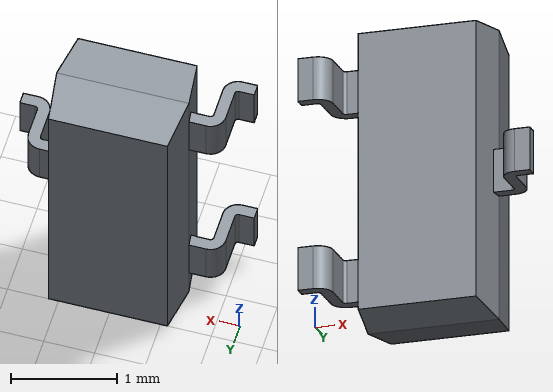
import cadquery as cq
import math

BODY_WIDTH = 1.3
BODY_DEPTH = 1.0
BODY_HEIGHT = 2.9
DRAFT_ANGLE = 7.5

LEAD_SPAN = 2.3
LEAD_WIDTH = 0.43
LEAD_THICKNESS = 0.12
LEAD_PITCH = 1.897
SHANK_OUTER_X = 0.97
OUTER_BEND_RADIUS = 0.15
INNER_BEND_RADIUS = OUTER_BEND_RADIUS - LEAD_THICKNESS
STANDOFF = 0.1

HALF_DEPTH = BODY_DEPTH / 2
SEATING_Y = -HALF_DEPTH - STANDOFF


def make_body():
    """Two drafted halves joined at the parting plane."""
    def half(distance):
        return (
            cq.Workplane("XZ")
            .rect(BODY_WIDTH, BODY_HEIGHT)
            .extrude(distance, taper=DRAFT_ANGLE)
        )

    return half(HALF_DEPTH).union(half(-HALF_DEPTH))


def make_lead(side, z_center):
    """One bent lead on the +X (side = 1) or -X (side = -1) wall, ending on the drafted wall."""
    wall_top_x = BODY_WIDTH / 2
    wall_bottom_x = wall_top_x - LEAD_THICKNESS * math.tan(math.radians(DRAFT_ANGLE))
    shank_inner_x = SHANK_OUTER_X - LEAD_THICKNESS
    toe_x = LEAD_SPAN / 2
    foot_top_y = SEATING_Y + LEAD_THICKNESS

    def x_y(x, y):
        return (side * x, y)

    def bend(profile, end, radius):
        return profile.radiusArc(x_y(*end), side * radius)

    outer = OUTER_BEND_RADIUS
    inner = INNER_BEND_RADIUS
    profile = cq.Workplane("XY", origin=(0, 0, z_center - LEAD_WIDTH / 2))
    profile = profile.moveTo(*x_y(wall_top_x, 0)).lineTo(*x_y(SHANK_OUTER_X - outer, 0))
    profile = bend(profile, (SHANK_OUTER_X, -outer), outer)
    profile = profile.lineTo(*x_y(SHANK_OUTER_X, foot_top_y + inner))
    profile = bend(profile, (SHANK_OUTER_X + inner, foot_top_y), -inner)
    profile = profile.lineTo(*x_y(toe_x, foot_top_y)).lineTo(*x_y(toe_x, SEATING_Y))
    profile = profile.lineTo(*x_y(shank_inner_x + outer, SEATING_Y))
    profile = bend(profile, (shank_inner_x, SEATING_Y + outer), outer)
    profile = profile.lineTo(*x_y(shank_inner_x, -LEAD_THICKNESS - inner))
    profile = bend(profile, (shank_inner_x - inner, -LEAD_THICKNESS), -inner)
    profile = profile.lineTo(*x_y(wall_bottom_x, -LEAD_THICKNESS)).close()
    return profile.extrude(LEAD_WIDTH)


body = make_body()

LEAD_PLACES = [(-1, LEAD_PITCH / 2), (-1, -LEAD_PITCH / 2), (1, 0)]
leads = [make_lead(side, z_center) for side, z_center in LEAD_PLACES]

result = cq.Compound.makeCompound([body.val(), *[lead.val() for lead in leads]])